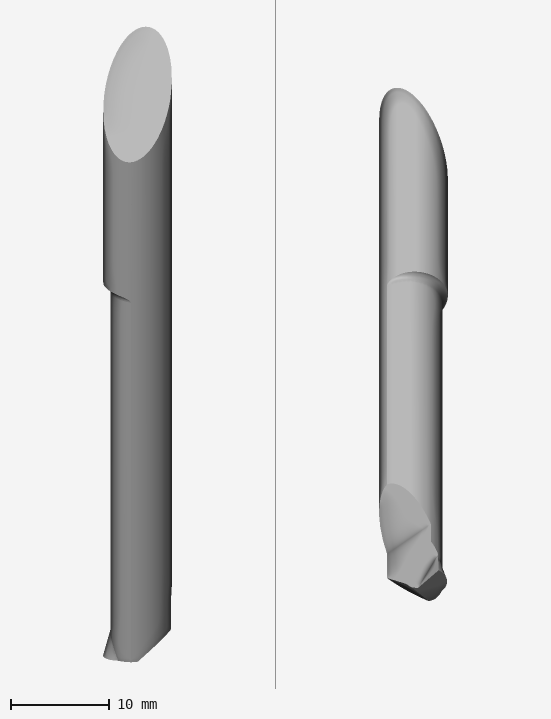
import cadquery as cq
import math

LENGTH = 68.3
SHANK_RADIUS = 3.5
CUT_ANGLE = 60.0
NECK_RADIUS = 3.5
NECK_OFFSET = 0.75
NECK_TOP = 40.7
NECK_FILLET = 0.75
FLAT_Y = 0.3
FLAT_TOP = 6.8
CHAMFER_HEIGHT = 3.4
END_RISE_X = 0.13
END_RISE_Y = 0.12

FLANK_X = -0.6
FLANK_Y = -0.3
FLANK_HEIGHT = 3.4
FLANK_TOP_RADIUS = 2.0
FLANK_END_RADIUS = 2.9

TIP_X = -3.4
TIP_Y = -0.1
GROOVE_ROOT = 0.8
GROOVE_ROOT_Y = -0.9
GROOVE_RIM = 1.65

TIP_HEIGHT = 2.2
TIP_SIDE_X = 0.31

CLEAR = 13.65
SLOPE = math.tan(math.radians(CUT_ANGLE))


def make_shank_blank():
    """Round bar with a slanted upper end."""
    bar = cq.Workplane("XY").circle(SHANK_RADIUS).extrude(LENGTH)
    low_z = LENGTH - 2 * SHANK_RADIUS * SLOPE
    end_cut = (
        cq.Workplane("YZ")
        .moveTo(-SHANK_RADIUS, low_z)
        .lineTo(SHANK_RADIUS, LENGTH)
        .lineTo(-SHANK_RADIUS, LENGTH)
        .close()
        .extrude(CLEAR, both=True)
    )
    return bar.cut(end_cut)


def make_neck_cutter():
    """Ring around the offset neck axis, with a fillet at its upper end."""
    fillet_rim = NECK_RADIUS + NECK_FILLET
    fillet_top = NECK_TOP + NECK_FILLET
    diagonal = NECK_FILLET * math.sqrt(0.5)
    return (
        cq.Workplane("XZ")
        .moveTo(NECK_RADIUS, 0)
        .lineTo(NECK_RADIUS, NECK_TOP)
        .threePointArc((fillet_rim - diagonal, NECK_TOP + diagonal), (fillet_rim, fillet_top))
        .lineTo(CLEAR, fillet_top)
        .lineTo(CLEAR, 0)
        .close()
        .revolve(360, (0, 0, 0), (0, 1, 0))
        .translate((NECK_OFFSET, 0, 0))
    )


def make_flank():
    """Cone that widens downward to the cutting corner."""
    return (
        cq.Workplane("XY")
        .center(FLANK_X, FLANK_Y)
        .circle(FLANK_END_RADIUS)
        .workplane(offset=FLANK_HEIGHT)
        .circle(FLANK_TOP_RADIUS)
        .loft()
    )


def make_half_cut():
    """Flat on the +Y side with a slanted run-out."""
    return (
        cq.Workplane("YZ")
        .moveTo(FLAT_Y, -CLEAR)
        .lineTo(FLAT_Y, FLAT_TOP)
        .lineTo(CLEAR, FLAT_TOP + (CLEAR - FLAT_Y) * SLOPE)
        .lineTo(CLEAR, -CLEAR)
        .close()
        .extrude(CLEAR, both=True)
    )


def make_side_relief():
    """45 degree cut under the +X side."""
    return (
        cq.Workplane("XZ")
        .moveTo(SHANK_RADIUS, CHAMFER_HEIGHT)
        .lineTo(SHANK_RADIUS - CLEAR, CHAMFER_HEIGHT - CLEAR)
        .lineTo(SHANK_RADIUS, CHAMFER_HEIGHT - CLEAR)
        .close()
        .extrude(CLEAR, both=True)
    )


def make_end_relief():
    """Space below the end face, which rises from the tip toward +X and -Y."""
    plane = cq.Plane(
        origin=(TIP_X, TIP_Y, 0),
        xDir=(1, 0, END_RISE_X),
        normal=(-END_RISE_X, END_RISE_Y, 1),
    )
    return cq.Workplane(plane).rect(2 * CLEAR, 2 * CLEAR).extrude(-CLEAR)


def make_chip_groove():
    """V groove across the flat, running at 45 degrees down toward +X."""
    plane = cq.Plane(origin=(0, 0, 0), xDir=(1, 0, 1), normal=(-1, 0, 1))
    across = math.sqrt(0.5)
    rake = (TIP_Y - GROOVE_ROOT_Y) / (GROOVE_ROOT - TIP_X)
    far_y = GROOVE_ROOT_Y + rake * (GROOVE_ROOT + CLEAR)
    return (
        cq.Workplane(plane)
        .polyline([
            (-CLEAR * across, far_y),
            (GROOVE_ROOT * across, GROOVE_ROOT_Y),
            (GROOVE_RIM * across, FLAT_Y),
            (GROOVE_RIM * across, far_y),
        ])
        .close()
        .extrude(CLEAR, both=True)
    )


def make_tip_space():
    """Block-shaped seat taken by the cutting tip."""
    return (
        cq.Workplane("XY")
        .box(CLEAR, 2 * CLEAR, CLEAR + TIP_HEIGHT, centered=(False, True, False))
        .translate((TIP_SIDE_X - CLEAR, 0, -CLEAR))
    )


def make_tool_form():
    """Whole tool shape shared by the shank and its tip."""
    form = make_shank_blank().cut(make_neck_cutter()).union(make_flank())
    for cutter in (make_half_cut(), make_side_relief(), make_end_relief(), make_chip_groove()):
        form = form.cut(cutter)
    return form


tool_form = make_tool_form()
shank = tool_form.cut(make_tip_space())
cutting_tip = tool_form.intersect(make_tip_space())

result = cq.Compound.makeCompound([shank.val(), cutting_tip.val()])